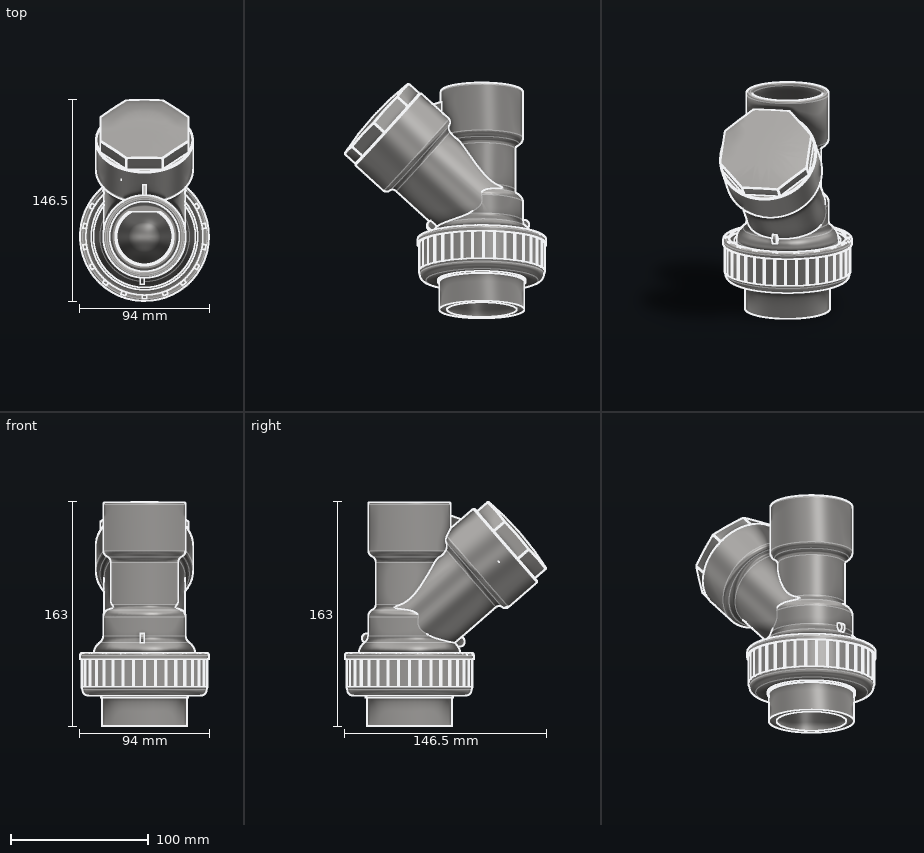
import cadquery as cq
import math


union_end_radius = 31.0
union_collar_radius = 32.0
union_collar_bottom = 20.6
joint_z = 34.0

nut_bottom = 22.0
nut_top = 53.3
nut_lip_thickness = 4.6
nut_band_radius = 45.35
nut_bottom_fillet = 4.6
nut_grip_radius = 46.0
nut_grip_bottom = 28.5
nut_rim_radius = 47.0
nut_rim_bottom = 48.7
nut_rim_fillet = 1.8
nut_bore_radius = 77.6 / 2
groove_count = 36
groove_width = 1.1
crown_inner_radius = 42.6
crown_height = 2.0
crown_notch_count = 18
crown_notch_width = 3.5
crown_notch_outer_radius = nut_rim_radius - nut_rim_fillet

pipe_radius = 60.2 / 2
neck_radius = 49.2 / 2
flare_radius = 37.1
flare_end_z = 52.0
flare_inflection = (32.6, 60.8)
flare_top_z = 65.6
shoulder_bottom_z = 79.4
shoulder_inflection = (26.8, 84.7)
shoulder_top_z = 88.6
socket_base_z = 119.1
socket_inflection = (27.1, 123.2)
socket_bottom_z = 127.3
body_top = 162.8
socket_edge_fillet = 1.5
socket_mouth_radius = 54.4 / 2
socket_bore_radius = 50.75 / 2
socket_depth = 32.0
port_radius = 40.4 / 2
port_mouth_radius = 42.6 / 2
port_flat_y = 17.9

branch_tilt = 49.0
branch_root_z = 70.7
branch_tube_radius = 59.0 / 2
branch_head_radius = 71.0 / 2
branch_blend_start = 57.8
branch_blend_end = 64.7
branch_length = 93.0
branch_chamfer = 0.8

ball_radius = 48.0 / 2
chamber_radius = 51.0 / 2
chamber_top = 72.0
seat_radius = 40.0 / 2

plug_across_flats = 64.6
plug_head_height = 11.0
plug_crown_height = 2.5
plug_edge_chamfer = 0.4
plug_spigot_length = 12.0
plug_sides = 8

web_thickness = 2.4
lug_radius = 3.6
lug_width = 3.2
front_lug_center = (-31.0, 63.8)
back_lug_center = (36.7, 61.3)


branch_plane = cq.Plane(
    origin=(0, 0, branch_root_z),
    xDir=(1, 0, 0),
    normal=(0, math.sin(math.radians(branch_tilt)), math.cos(math.radians(branch_tilt))),
)


def revolve_z(profile):
    """Turn a closed (radius, z) profile about the pipe axis."""
    return profile.close().revolve(360, (0, 0, 0), (0, 1, 0))


def rod(radius, bottom, top):
    return cq.Workplane("XY").workplane(offset=bottom).circle(radius).extrude(top - bottom)


def branch_rod(radius, start, end):
    return cq.Workplane(branch_plane).workplane(offset=start).circle(radius).extrude(end - start)


def side_plate(points, x_start, thickness):
    """Plate parallel to YZ from an outline of (y, z) points."""
    return cq.Workplane("YZ").workplane(offset=x_start).polyline(points).close().extrude(thickness)


def make_pipe():
    return revolve_z(
        cq.Workplane("XZ")
        .moveTo(0, joint_z)
        .lineTo(flare_radius, joint_z)
        .lineTo(flare_radius, flare_end_z)
        .tangentArcPoint(flare_inflection, relative=False)
        .tangentArcPoint((pipe_radius, flare_top_z), relative=False)
        .lineTo(pipe_radius, shoulder_bottom_z)
        .tangentArcPoint(shoulder_inflection, relative=False)
        .tangentArcPoint((neck_radius, shoulder_top_z), relative=False)
        .lineTo(neck_radius, socket_base_z)
        .tangentArcPoint(socket_inflection, relative=False)
        .tangentArcPoint((pipe_radius, socket_bottom_z), relative=False)
        .lineTo(pipe_radius, body_top - socket_edge_fillet)
        .tangentArcPoint((pipe_radius - socket_edge_fillet, body_top), relative=False)
        .lineTo(0, body_top)
    )


def make_branch():
    blend_middle = (
        (branch_tube_radius + branch_head_radius) / 2,
        (branch_blend_start + branch_blend_end) / 2,
    )
    profile = (
        cq.Workplane("XZ")
        .lineTo(branch_tube_radius, 0)
        .lineTo(branch_tube_radius, branch_blend_start)
        .tangentArcPoint(blend_middle, relative=False)
        .tangentArcPoint((branch_head_radius, branch_blend_end), relative=False)
        .lineTo(branch_head_radius, branch_length - branch_chamfer)
        .lineTo(branch_head_radius - branch_chamfer, branch_length)
        .lineTo(0, branch_length)
    )
    upright = revolve_z(profile)
    return upright.rotate((0, 0, 0), (1, 0, 0), -branch_tilt).translate((0, 0, branch_root_z))


def make_lug(center, x_start):
    return (
        cq.Workplane("YZ").workplane(offset=x_start).center(*center).circle(lug_radius).extrude(lug_width)
    )


def make_web():
    outline = [(37.5, 150.5), (29.0, 153.5), (27.0, 153.5), (27.0, 125.0), (37.5, 125.0)]
    return side_plate(outline, -web_thickness / 2, web_thickness)


def make_outlet_bore():
    """Socket, with the flat-sided port below it."""
    shoulder_z = body_top - socket_depth
    mouth_taper = port_mouth_radius - port_radius
    socket = revolve_z(
        cq.Workplane("XZ")
        .moveTo(0, shoulder_z)
        .lineTo(socket_bore_radius, shoulder_z)
        .lineTo(socket_bore_radius, body_top - (socket_mouth_radius - socket_bore_radius))
        .tangentArcPoint((socket_mouth_radius, body_top), relative=False)
        .lineTo(0, body_top)
    )
    port = revolve_z(
        cq.Workplane("XZ")
        .moveTo(0, joint_z)
        .lineTo(port_radius, joint_z)
        .lineTo(port_radius, shoulder_z - mouth_taper)
        .lineTo(port_mouth_radius, shoulder_z)
        .lineTo(0, shoulder_z)
    )
    flat_side = cq.Workplane("XY").box(
        2 * port_mouth_radius, port_mouth_radius, body_top, centered=(True, False, False)
    )
    return socket.union(port.cut(flat_side.translate((0, port_flat_y, 0))))


def make_body():
    body = make_pipe().union(make_branch()).union(make_web())
    body = body.union(make_lug(front_lug_center, -lug_width)).union(make_lug(back_lug_center, 0))
    body = body.cut(make_outlet_bore())
    body = body.cut(rod(chamber_radius, joint_z, chamber_top))
    return body.cut(branch_rod(chamber_radius, 0, branch_length))


def make_union_end():
    flange_bottom = nut_bottom + nut_lip_thickness
    end = rod(union_end_radius, 0, joint_z)
    end = end.union(rod(union_collar_radius, union_collar_bottom, joint_z))
    end = end.union(rod(flare_radius, flange_bottom, joint_z))
    end = end.cut(rod(seat_radius, 0, joint_z))
    return end.cut(rod(socket_bore_radius, 0, flange_bottom))


def make_nut():
    lip_top = nut_bottom + nut_lip_thickness
    step_z = nut_top - crown_height
    nut = revolve_z(
        cq.Workplane("XZ")
        .moveTo(union_collar_radius, nut_bottom)
        .lineTo(nut_band_radius - nut_bottom_fillet, nut_bottom)
        .tangentArcPoint((nut_band_radius, nut_bottom + nut_bottom_fillet), relative=False)
        .lineTo(nut_grip_radius, nut_grip_bottom)
        .lineTo(nut_grip_radius, nut_rim_bottom)
        .lineTo(nut_rim_radius, nut_rim_bottom)
        .lineTo(nut_rim_radius, nut_top - nut_rim_fillet)
        .tangentArcPoint((nut_rim_radius - nut_rim_fillet, nut_top), relative=False)
        .lineTo(crown_inner_radius, nut_top)
        .lineTo(crown_inner_radius, step_z)
        .lineTo(nut_bore_radius, step_z)
        .lineTo(nut_bore_radius, lip_top)
        .lineTo(union_collar_radius, lip_top)
    )
    groove_height = nut_rim_bottom - nut_grip_bottom
    grooves = (
        cq.Workplane("XY")
        .workplane(offset=nut_grip_bottom)
        .polarArray(nut_grip_radius, -90, 360, groove_count)
        .rect(2 * (nut_grip_radius - nut_band_radius), groove_width)
        .extrude(groove_height)
    )
    notch_length = crown_notch_outer_radius - crown_inner_radius
    notches = (
        cq.Workplane("XY")
        .workplane(offset=step_z)
        .polarArray(crown_notch_outer_radius - notch_length / 2, -90, 360, crown_notch_count)
        .rect(notch_length, crown_notch_width)
        .extrude(crown_height)
    )
    return nut.cut(grooves).cut(notches)


def make_ball():
    """Ball resting on the rim of the seat."""
    center_z = joint_z + math.sqrt(ball_radius**2 - seat_radius**2)
    return cq.Workplane("XY").sphere(ball_radius).translate((0, 0, center_z))


def make_plug():
    """Octagonal head with a domed face, and a spigot that closes the branch."""
    half_flats = plug_across_flats / 2
    dome_radius = (half_flats**2 + plug_crown_height**2) / (2 * plug_crown_height)
    apex = branch_length + plug_head_height + plug_crown_height
    corner_diameter = plug_across_flats / math.cos(math.pi / plug_sides)
    head = (
        cq.Workplane(branch_plane)
        .workplane(offset=branch_length)
        .transformed(rotate=(0, 0, 180 / plug_sides))
        .polygon(plug_sides, corner_diameter)
        .extrude(apex - branch_length)
        .edges(cq.selectors.ParallelDirSelector(branch_plane.zDir))
        .chamfer(plug_edge_chamfer)
    )
    dome = cq.Workplane(branch_plane).workplane(offset=apex - dome_radius).sphere(dome_radius)
    spigot = branch_rod(chamber_radius, branch_length - plug_spigot_length, branch_length)
    crowned_head = head.intersect(dome)
    crowned_head = crowned_head.faces("%SPHERE").edges().chamfer(plug_edge_chamfer)
    return crowned_head.union(spigot)


body = make_body()
union_end = make_union_end()
nut = make_nut()
ball = make_ball()
plug = make_plug()

result = cq.Compound.makeCompound([body.val(), union_end.val(), nut.val(), ball.val(), plug.val()])